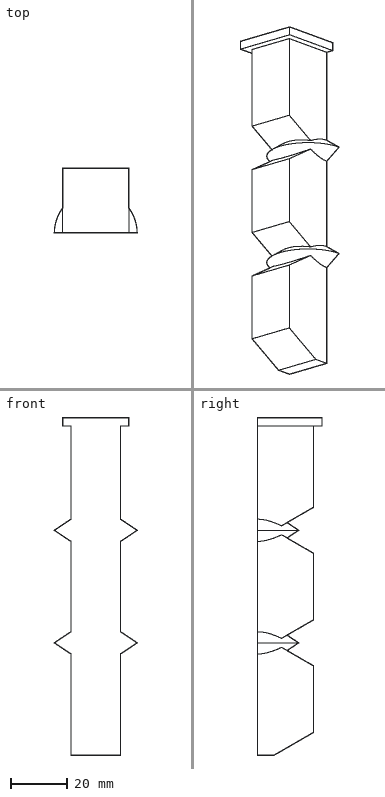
import cadquery as cq
import math

total_height = 120.0
bar_width = 17.8
bar_depth = 20.0

cap_width = 23.5
cap_depth = 23.0
cap_thickness = 3.0

segment_count = 3
segment_height = total_height / segment_count
web_thickness = 5.9
notch_slope_angle = 30.0
notch_depth = bar_depth - web_thickness
notch_half_height = notch_depth * math.tan(math.radians(notch_slope_angle))

disc_radius = 14.8
disc_edge_half_height = 4.0
disc_slope = disc_edge_half_height / (disc_radius - bar_width / 2)
disc_half_height = disc_radius * disc_slope


def make_bar():
    """Side profile with a V notch at each joint and a bevelled base."""
    points = [(0, 0), (web_thickness, 0), (bar_depth, notch_half_height)]
    for joint in range(1, segment_count):
        joint_z = joint * segment_height
        points += [
            (bar_depth, joint_z - notch_half_height),
            (web_thickness, joint_z),
            (bar_depth, joint_z + notch_half_height),
        ]
    points += [(bar_depth, total_height), (0, total_height)]
    return cq.Workplane("YZ").polyline(points).close().extrude(bar_width / 2, both=True)


def make_cap():
    return (
        cq.Workplane("XY", origin=(0, cap_depth / 2, total_height - cap_thickness))
        .box(cap_width, cap_depth, cap_thickness, centered=(True, True, False))
    )


def make_half_disc(center_z):
    """Double cone, revolved half a turn behind the front face."""
    return (
        cq.Workplane("XY")
        .polyline([(0, -disc_half_height), (disc_radius, 0), (0, disc_half_height)])
        .close()
        .revolve(180, (0, 0), (0, 1))
        .rotate((0, 0, 0), (1, 0, 0), 90)
        .translate((0, 0, center_z))
    )


result = make_bar().union(make_cap())
for joint in range(1, segment_count):
    result = result.union(make_half_disc(joint * segment_height))